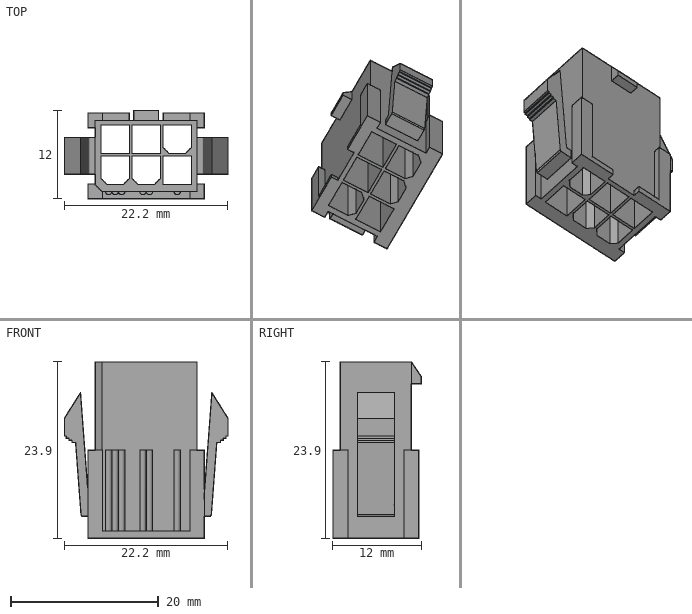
import cadquery as cq

overall_width = 22.2
overall_depth = 12.0

height = 23.9
body_width = 13.81
body_depth = 9.65
corner_chamfer = 0.9

cavity_pitch = 4.2
cavity_size = 3.82
cavity_chamfer = 0.8
cavity_shift_y = 0.17
columns = 3
rows = 2
chamfered_cavities = [(0, 0), (1, 0), (2, 1)]

frame_width = 15.77
frame_depth = 11.65
frame_height = 11.95
frame_opening = 11.83
post_depth = 2.03
ledge_height = 1.0
ledge_gap = 4.6

rib_counts = [3, 2, 1]
rib_pitch = 0.88
rib_radius = 0.43

key_width = 3.4
key_ramp_height = 2.0
key_height = 2.96

latch_depth = 5.0
latch_lean = 0.075
latch_tip_x = 8.9
latch_tip_z = 19.77
hook_face_x = overall_width / 2
hook_face_top = 16.25

step_run = 0.38
step_rise = 0.29
step_count = 3
hook_bottom = 12.98
hook_root_x = 9.58
first_step_x = 10.09

foot_bottom = 2.96
foot_top = 4.5
foot_chamfer_height = 0.26
foot_chamfer_width = 0.15
foot_fillet = 0.26

overlap = 0.25

half_width = body_width / 2
half_depth = body_depth / 2
half_frame_depth = frame_depth / 2


def block(x0, x1, y0, y1, z0, z1):
    """Box between opposite corners."""
    return cq.Workplane("XY").box(x1 - x0, y1 - y0, z1 - z0, centered=False).translate((x0, y0, z0))


def make_body():
    body = cq.Workplane("XY").rect(body_width, body_depth).extrude(height)
    return body.edges("|Z and <X and <Y").chamfer(corner_chamfer)


def make_frame_side(side):
    """Two corner posts and the ledge between them; side is -1 for front, +1 for back."""
    outer = side * half_frame_depth
    y_ledge = sorted((side * (half_depth - overlap), outer))
    y_post = sorted((side * (half_frame_depth - post_depth), outer))
    x_inner = frame_opening / 2
    x_outer = frame_width / 2
    frame = block(-x_inner, x_inner, *y_ledge, 0, ledge_height)
    frame = frame.union(block(-x_outer, -x_inner, *y_post, 0, frame_height))
    return frame.union(block(x_inner, x_outer, *y_post, 0, frame_height))


def make_ledge_gap():
    """Clearance below the key that splits the back ledge."""
    return block(-ledge_gap / 2, ledge_gap / 2, half_depth, half_frame_depth, 0, ledge_height)


def make_ribs():
    """Upright round bars half sunk in the front face, one group per cavity column."""
    centres = []
    for column, count in enumerate(rib_counts):
        group_x = (column - (columns - 1) / 2) * cavity_pitch
        for i in range(count):
            centres.append((group_x + (i - (count - 1) / 2) * rib_pitch, -half_depth))
    return cq.Workplane("XY").pushPoints(centres).circle(rib_radius).extrude(frame_height)


def make_key():
    tip_y = overall_depth - half_frame_depth
    root_y = half_depth - overlap
    profile = [
        (root_y, height),
        (half_depth, height),
        (tip_y, height - key_ramp_height),
        (tip_y, height - key_height),
        (root_y, height - key_height),
    ]
    return cq.Workplane("YZ").polyline(profile).close().extrude(key_width / 2, both=True)


def make_latch():
    """Right-hand latch: a foot on the body, a leaning arm and a stepped hook."""
    foot_corner_x = latch_tip_x - latch_lean * (latch_tip_z - foot_top)
    chamfer_top = foot_bottom + foot_chamfer_height
    arm_bottom_x = hook_root_x - latch_lean * (hook_bottom - chamfer_top)
    root_x = half_width - overlap
    profile = [
        (root_x, foot_top),
        (foot_corner_x, foot_top),
        (latch_tip_x, latch_tip_z),
        (hook_face_x, hook_face_top),
    ]
    level = hook_bottom + step_count * step_rise
    profile.append((hook_face_x, level))
    for step in reversed(range(step_count)):
        riser_x = first_step_x + step * step_run
        profile.append((riser_x, level))
        level -= step_rise
        profile.append((riser_x, level))
    profile += [
        (hook_root_x, hook_bottom),
        (arm_bottom_x, chamfer_top),
        (arm_bottom_x - foot_chamfer_width, foot_bottom),
        (root_x, foot_bottom),
    ]
    latch = cq.Workplane("XZ").polyline(profile).close().extrude(latch_depth / 2, both=True)
    inner_corner = cq.selectors.NearestToPointSelector((foot_corner_x, 0, foot_top))
    return latch.edges("|Y").edges(inner_corner).fillet(foot_fillet)


def make_cavity(column, row):
    x = (column - (columns - 1) / 2) * cavity_pitch
    y = (row - (rows - 1) / 2) * cavity_pitch + cavity_shift_y
    cavity = cq.Workplane("XY").center(x, y).rect(cavity_size, cavity_size).extrude(height)
    if (column, row) in chamfered_cavities:
        cavity = cavity.edges("|Z and <Y").chamfer(cavity_chamfer)
    return cavity


result = make_body()
for side in (-1, 1):
    result = result.union(make_frame_side(side))
result = result.cut(make_ledge_gap())
result = result.union(make_ribs()).union(make_key())

right_latch = make_latch()
result = result.union(right_latch).union(right_latch.mirror("YZ"))

for column in range(columns):
    for row in range(rows):
        result = result.cut(make_cavity(column, row))